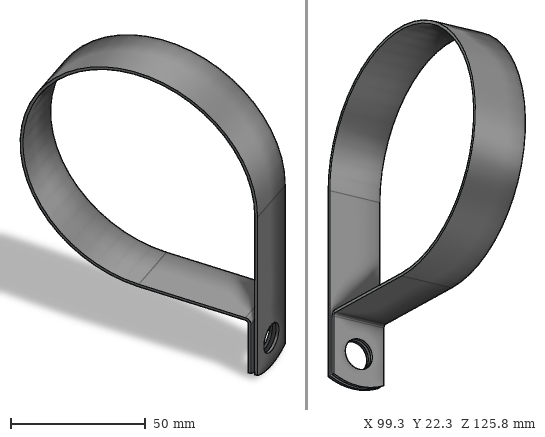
import cadquery as cq
import math

ring_diameter = 99.3
strip_width = 22.3
total_height = 125.8
thickness = 1.2
tab_gap = 1.5
inner_bend_radius = 1.1
hole_diameter = 12.0
hole_height = 12.7
tab_end_radius = 25.2

outer_radius = ring_diameter / 2
inner_radius = outer_radius - thickness
bottom = outer_radius - total_height
tab_outer_x = inner_radius - tab_gap
tab_inner_x = tab_outer_x - thickness
bend_radius = inner_bend_radius + thickness
bend_x = tab_outer_x - bend_radius
bend_z = -outer_radius + thickness - bend_radius
arc_mid = math.sqrt(0.5)


def strip():
    """Bent strip: long tab, three-quarter ring, flat floor and short tab."""
    return (
        cq.Workplane("XZ")
        .moveTo(outer_radius, bottom)
        .lineTo(outer_radius, 0)
        .threePointArc((-outer_radius * arc_mid, outer_radius * arc_mid), (0, -outer_radius))
        .lineTo(bend_x, -outer_radius)
        .threePointArc(
            (bend_x + inner_bend_radius * arc_mid, bend_z + inner_bend_radius * arc_mid),
            (tab_inner_x, bend_z),
        )
        .lineTo(tab_inner_x, bottom)
        .lineTo(tab_outer_x, bottom)
        .lineTo(tab_outer_x, bend_z)
        .threePointArc(
            (bend_x + bend_radius * arc_mid, bend_z + bend_radius * arc_mid),
            (bend_x, -inner_radius),
        )
        .lineTo(0, -inner_radius)
        .threePointArc((-inner_radius * arc_mid, inner_radius * arc_mid), (inner_radius, 0))
        .lineTo(inner_radius, bottom)
        .close()
        .extrude(strip_width / 2, both=True)
    )


def end_rounding():
    """Side outline with a rounded lower end, wide enough to span the part."""
    half_width = strip_width / 2
    end_rise = tab_end_radius - math.sqrt(tab_end_radius**2 - half_width**2)
    return (
        cq.Workplane("YZ")
        .moveTo(-half_width, outer_radius)
        .lineTo(-half_width, bottom + end_rise)
        .threePointArc((0, bottom), (half_width, bottom + end_rise))
        .lineTo(half_width, outer_radius)
        .close()
        .extrude(outer_radius, both=True)
    )


def bolt_hole():
    """Cylinder along X through both tabs."""
    return (
        cq.Workplane("YZ")
        .center(0, bottom + hole_height)
        .circle(hole_diameter / 2)
        .extrude(ring_diameter)
    )


result = strip().intersect(end_rounding()).cut(bolt_hole())